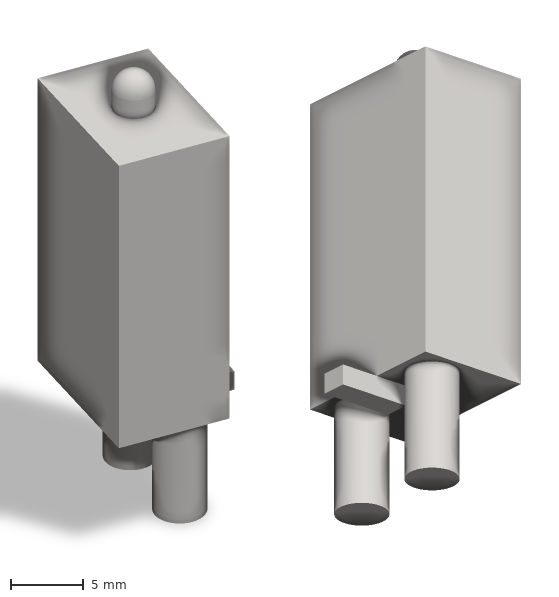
import cadquery as cq

housing_width = 12.5
housing_depth = 8.5
housing_height = 23.0

pin_diameter = 3.8
pin_length = 8.0
pin_spacing = 7.6
pin_back_margin = 0.7
pin_x = pin_spacing / 2
pin_y = housing_depth / 2 - pin_back_margin - pin_diameter / 2

tab_width = 2.0
tab_thickness = 1.5
tab_overhang = 3.0
tab_length = housing_depth / 2 + tab_overhang - pin_y

lamp_diameter = 3.0
lamp_height = 3.0
lamp_radius = lamp_diameter / 2
lamp_shoulder = lamp_height - lamp_radius


def make_housing():
    """Block with its two pins and its tab, as one solid."""
    block = cq.Workplane("XY").box(
        housing_width, housing_depth, housing_height, centered=(True, True, False)
    )
    pins = (
        cq.Workplane("XY")
        .pushPoints([(side * pin_x, pin_y) for side in (-1, 1)])
        .circle(pin_diameter / 2)
        .extrude(-pin_length)
    )
    tab = (
        cq.Workplane("XY")
        .center(0, pin_y + tab_length / 2)
        .rect(tab_width, tab_length)
        .extrude(-tab_thickness)
    )
    return block.union(pins).union(tab)


def make_lamp():
    """Domed lamp standing on the centre of the housing top."""
    profile = (
        cq.Workplane("XZ", origin=(0, 0, housing_height))
        .lineTo(lamp_radius, 0)
        .lineTo(lamp_radius, lamp_shoulder)
        .radiusArc((0, lamp_height), -lamp_radius)
        .close()
    )
    return profile.revolve(360, (0, 0, 0), (0, 1, 0))


housing = make_housing()
lamp = make_lamp()

result = cq.Compound.makeCompound([housing.val(), lamp.val()])